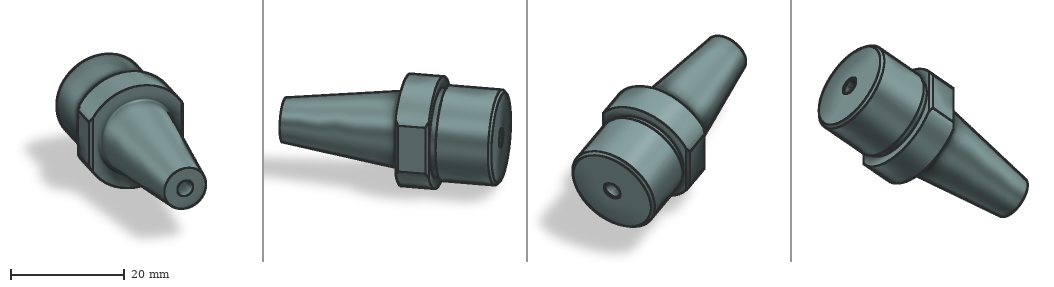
import cadquery as cq
import math

total_length = 39.2
body_length = 10.0
groove_width = 1.2
flange_width = 6.0
neck_fillet_radius = 0.8
flange_start = body_length + groove_width
flange_end = flange_start + flange_width
cone_start = flange_end + neck_fillet_radius

body_diameter = 17.0
groove_diameter = 16.0
flange_diameter = 20.0
cone_base_diameter = 13.8
cone_tip_diameter = 8.0
bore_diameter = 3.0

body_chamfer = 0.5
bore_chamfer = 0.2

flats_width = 18.0
flat_chamfer = 0.5


def turned_body():
    """Revolve the half profile about the X axis."""
    body_radius = body_diameter / 2
    groove_radius = groove_diameter / 2
    flange_radius = flange_diameter / 2
    cone_base_radius = cone_base_diameter / 2
    neck_radius = cone_base_radius + neck_fillet_radius
    neck_arc_inset = neck_fillet_radius * (1 - math.sqrt(0.5))
    neck_arc_middle = (flange_end + neck_arc_inset, cone_base_radius + neck_arc_inset)
    profile = (
        cq.Workplane("XY")
        .moveTo(0, 0)
        .lineTo(0, body_radius - body_chamfer)
        .lineTo(body_chamfer, body_radius)
        .lineTo(body_length, body_radius)
        .lineTo(body_length, groove_radius)
        .lineTo(flange_start, groove_radius)
        .lineTo(flange_start, flange_radius)
        .lineTo(flange_end, flange_radius)
        .lineTo(flange_end, neck_radius)
        .threePointArc(neck_arc_middle, (cone_start, cone_base_radius))
        .lineTo(total_length, cone_tip_diameter / 2)
        .lineTo(total_length, 0)
        .close()
    )
    return profile.revolve(360, (0, 0, 0), (1, 0, 0))


def flat_cutter(side):
    """Material outside one flat (side is +1 or -1), including its chamfered end edges."""
    flat_y = flats_width / 2
    edge_y = flat_y - flat_chamfer
    outer_y = flange_diameter / 2
    outline = [
        (flange_start, edge_y),
        (flange_start + flat_chamfer, flat_y),
        (flange_end - flat_chamfer, flat_y),
        (flange_end, edge_y),
        (flange_end, outer_y),
        (flange_start, outer_y),
    ]
    return (
        cq.Workplane("XY")
        .polyline([(x, side * y) for x, y in outline])
        .close()
        .extrude(flange_diameter / 2, both=True)
    )


def bore():
    """Through bore with a small chamfer at the body end."""
    bore_radius = bore_diameter / 2
    hole = cq.Workplane("YZ").circle(bore_radius).extrude(total_length)
    mouth = cq.Workplane(
        cq.Solid.makeCone(
            bore_radius + bore_chamfer, bore_radius, bore_chamfer,
            cq.Vector(0, 0, 0), cq.Vector(1, 0, 0),
        )
    )
    return hole.union(mouth)


result = turned_body().cut(bore())
for flat_side in (1, -1):
    result = result.cut(flat_cutter(flat_side))